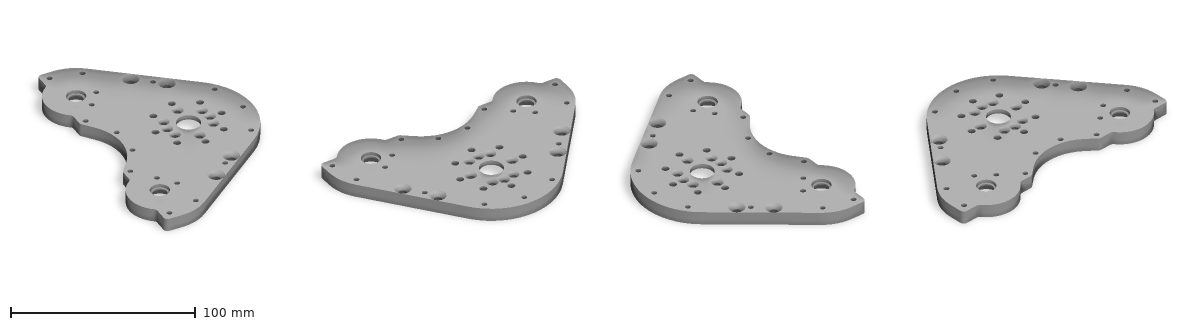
import cadquery as cq
import math

LENGTH = 153.1
THICKNESS = 8.0
CROWN_RADIUS = 38.9
BASE_Y = -53.0
CORNER_RADIUS = 2.5

BEARING_X = 49.9
BEARING_Y = -42.9
LOBE_RADIUS = 18.5
WING_RADIUS = LENGTH / 2 - BEARING_X
BEARING_BORE = 8.3
SHAFT_RECESS = 11.0
SHAFT_RECESS_DEPTH = 2.0
BEARING_SEAT = 16.1
BEARING_SEAT_DEPTH = 5.0

ARCH_RADIUS = 30.0
ARCH_TOP_Y = -40.9
ARCH_SLOPE = 39.0

CENTRE_BORE = 13.5
MOTOR_POCKET = 35.2
MOTOR_POCKET_DEPTH = 3.0
PILOT_RECESS = 21.5
PILOT_RECESS_DEPTH = 5.2

SCREW_HOLE = 3.2
MOUNT_HOLE = 4.3
SMALL_SINK = 6.5
LARGE_SINK = 9.5
SINK_ANGLE = 90.0

MOUNT_CIRCLE_RADIUS = 20.0
SQUARE_PATTERN_RADIUS = 13.0
HEX_PATTERN_RADIUS = 13.5

PIN_DEPTH = 5.0
DRILL_POINT_ANGLE = 118.0
PIN_OFFSETS = [(-1.7, 11.3), (-11.0, 3.8)]

CROWN_HOLE = (0, 33.0)
EDGE_HOLES = [(21.7, 27.0), (43.0, 0.3), (67.5, -30.0), (71.5, -48.1), (26.6, -49.0), (9.3, -38.9)]
LARGE_SINK_HOLES = [(38.5, 6.5), (51.0, -9.2)]


def mirror(point):
    return (-point[0], point[1])


def both_sides(points):
    return points + [mirror(point) for point in points]


def polar(radius, degrees, centre=(0, 0)):
    angle = math.radians(degrees)
    return (centre[0] + radius * math.cos(angle), centre[1] + radius * math.sin(angle))


def ring(radius, count):
    return [polar(radius, 360 / count * i) for i in range(count)]


def plate():
    bearing = (BEARING_X, BEARING_Y)
    arch_centre = (0, ARCH_TOP_Y - ARCH_RADIUS)

    centre_distance = math.hypot(BEARING_X, BEARING_Y)
    centre_direction = math.degrees(math.atan2(BEARING_Y, BEARING_X))
    spread = math.degrees(math.acos((CROWN_RADIUS - WING_RADIUS) / centre_distance))
    flank_normal = centre_direction + spread
    crown_end = polar(CROWN_RADIUS, flank_normal)
    wing_start = polar(WING_RADIUS, flank_normal, bearing)
    wing_middle = polar(WING_RADIUS, flank_normal / 2, bearing)
    wing_end = polar(WING_RADIUS, 0, bearing)

    arch_end = polar(ARCH_RADIUS, 90 - ARCH_SLOPE, arch_centre)
    arch_run = (arch_end[1] - BASE_Y) / math.tan(math.radians(ARCH_SLOPE))
    arch_foot = (arch_end[0] + arch_run, BASE_Y)

    lobe_half_width = math.sqrt(LOBE_RADIUS**2 - (BEARING_Y - BASE_Y) ** 2)
    lobe_outer = (BEARING_X + lobe_half_width, BASE_Y)
    lobe_inner = (BEARING_X - lobe_half_width, BASE_Y)
    lobe_bottom = (BEARING_X, BEARING_Y - LOBE_RADIUS)
    corner = (LENGTH / 2, BASE_Y)

    outline = (
        cq.Workplane("XY")
        .moveTo(*mirror(crown_end))
        .threePointArc((0, CROWN_RADIUS), crown_end)
        .lineTo(*wing_start)
        .threePointArc(wing_middle, wing_end)
        .lineTo(*corner)
        .lineTo(*lobe_outer)
        .threePointArc(lobe_bottom, lobe_inner)
        .lineTo(*arch_foot)
        .lineTo(*arch_end)
        .threePointArc((0, ARCH_TOP_Y), mirror(arch_end))
        .lineTo(*mirror(arch_foot))
        .lineTo(*mirror(lobe_inner))
        .threePointArc(mirror(lobe_bottom), mirror(lobe_outer))
        .lineTo(*mirror(corner))
        .lineTo(*mirror(wing_end))
        .threePointArc(mirror(wing_middle), mirror(wing_start))
        .close()
    )
    margin = CORNER_RADIUS / 2
    base_strip = cq.selectors.BoxSelector(
        (-LENGTH, BASE_Y - margin, 0), (LENGTH, BASE_Y + margin, THICKNESS)
    )
    return outline.extrude(THICKNESS).edges("|Z").edges(base_strip).fillet(CORNER_RADIUS)


def on_top(body, points):
    return body.faces(">Z").workplane(origin=(0, 0, THICKNESS)).pushPoints(points)


def countersink(body, points, hole, sink):
    for point in points:
        body = on_top(body, [point]).cskHole(hole, sink, SINK_ANGLE)
    return body


def recess_from_below(body, points, diameter, depth):
    cutter = cq.Workplane("XY").pushPoints(points).circle(diameter / 2).extrude(depth)
    return body.cut(cutter)


def pin_holes(body):
    radius = SCREW_HOLE / 2
    point_depth = radius / math.tan(math.radians(DRILL_POINT_ANGLE / 2))
    drill = (
        cq.Workplane("XZ")
        .polyline([(0, 0), (radius, 0), (radius, -PIN_DEPTH), (0, -PIN_DEPTH - point_depth)])
        .close()
        .revolve(360, (0, 0, 0), (0, 1, 0))
    )
    for x, y in both_sides([(BEARING_X + dx, BEARING_Y + dy) for dx, dy in PIN_OFFSETS]):
        body = body.cut(drill.translate((x, y, THICKNESS)))
    return body


bearings = both_sides([(BEARING_X, BEARING_Y)])
centre = [(0, 0)]
motor_holes = ring(SQUARE_PATTERN_RADIUS, 4) + ring(HEX_PATTERN_RADIUS, 6)

result = plate()

result = on_top(result, bearings).cboreHole(BEARING_BORE, SHAFT_RECESS, SHAFT_RECESS_DEPTH)
result = recess_from_below(result, bearings, BEARING_SEAT, BEARING_SEAT_DEPTH)
result = on_top(result, centre).hole(CENTRE_BORE)
result = recess_from_below(result, centre, MOTOR_POCKET, MOTOR_POCKET_DEPTH)
result = recess_from_below(result, centre, PILOT_RECESS, PILOT_RECESS_DEPTH)

result = on_top(result, ring(MOUNT_CIRCLE_RADIUS, 8)).hole(MOUNT_HOLE)
result = on_top(result, [CROWN_HOLE] + both_sides(EDGE_HOLES)).hole(SCREW_HOLE)
result = countersink(result, motor_holes, SCREW_HOLE, SMALL_SINK)
result = countersink(result, both_sides(LARGE_SINK_HOLES), MOUNT_HOLE, LARGE_SINK)
result = pin_holes(result)